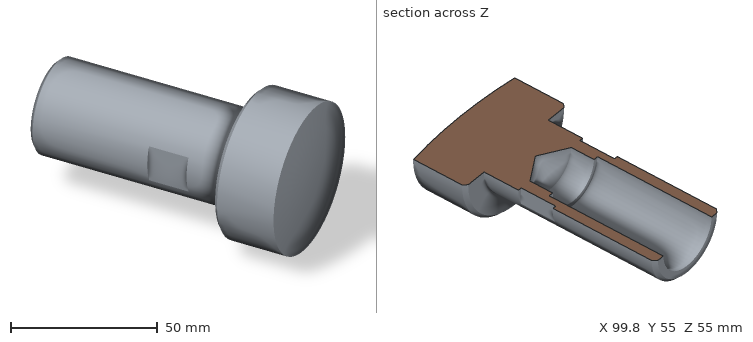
import cadquery as cq
import math

total_length = 99.8
shank_length = 75.0
shank_diameter = 35.0
head_diameter = 55.0
dome_height = 1.8
edge_chamfer = 1.5

bore_diameter = 26.0
bore_depth = 50.0
pilot_diameter = 22.3
pilot_depth = 60.0
drill_point_angle = 118.0

flat_start = 45.0
flat_length = 15.0
flat_across = 32.0

shank_radius = shank_diameter / 2
head_radius = head_diameter / 2
bore_radius = bore_diameter / 2
pilot_radius = pilot_diameter / 2
head_rim_x = total_length - dome_height


def make_body():
    """Shank and domed head, revolved about the X axis."""
    dome_radius = (head_radius**2 + dome_height**2) / (2 * dome_height)
    mid_radius = head_radius / 2
    mid_x = total_length - dome_radius + math.sqrt(dome_radius**2 - mid_radius**2)
    profile = (
        cq.Workplane("XY")
        .lineTo(0, shank_radius - edge_chamfer)
        .lineTo(edge_chamfer, shank_radius)
        .lineTo(shank_length, shank_radius)
        .lineTo(shank_length, head_radius - edge_chamfer)
        .lineTo(shank_length + edge_chamfer, head_radius)
        .lineTo(head_rim_x, head_radius)
        .threePointArc((mid_x, mid_radius), (total_length, 0))
        .close()
    )
    return profile.revolve(360, (0, 0, 0), (1, 0, 0))


def make_bore():
    """Stepped blind hole ending in a conical drill point."""
    point_depth = pilot_radius / math.tan(math.radians(drill_point_angle / 2))
    profile = (
        cq.Workplane("XY")
        .lineTo(0, bore_radius)
        .lineTo(bore_depth, bore_radius)
        .lineTo(bore_depth, pilot_radius)
        .lineTo(pilot_depth, pilot_radius)
        .lineTo(pilot_depth + point_depth, 0)
        .close()
    )
    return profile.revolve(360, (0, 0, 0), (1, 0, 0))


def make_flat_cutter(side):
    """Block that trims one flat on the +Y (side=1) or -Y (side=-1) of the shank."""
    block_depth = shank_radius
    return cq.Workplane("XY").box(flat_length, block_depth, shank_diameter).translate(
        (flat_start + flat_length / 2, side * (flat_across + block_depth) / 2, 0)
    )


result = make_body().cut(make_bore())
for side in (-1, 1):
    result = result.cut(make_flat_cutter(side))